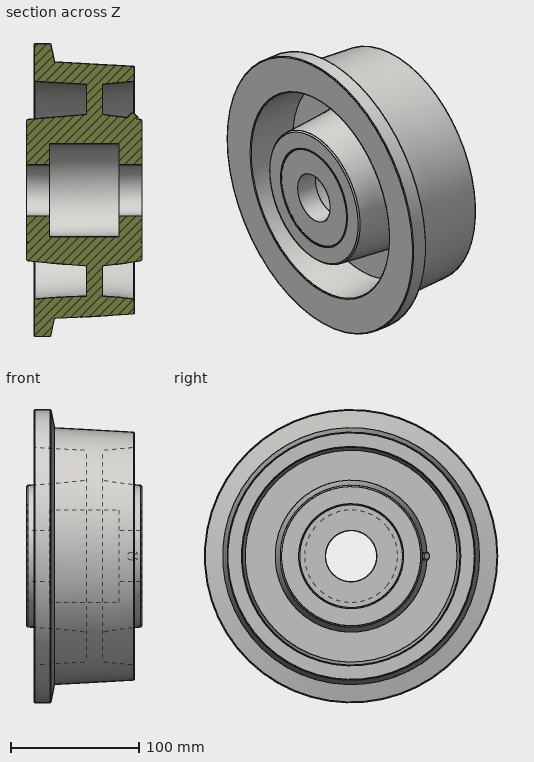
import cadquery as cq
import math

hub_length = 90.0
hub_end = hub_length / 2
hub_overhang = 6.0
rim_end = hub_end - hub_overhang
flange_width = 13.3
flange_back = -rim_end + flange_width
tread_start = flange_back + 2.7
web_start = 1.5
web_thickness = 12.8
web_end = web_start + web_thickness

flange_radius = 114.2
tread_start_radius = 100.0
tread_end_radius = 96.7
rim_mouth_radius = 85.5
rim_root_radius = 82.5
hub_root_radius = 59.2
hub_end_radius = 55.3
bore_radius = 19.9
groove_radius = 41.0
groove_size = 1.0

bearing_width = 18.0
cavity_radius = 36.0

edge_chamfer = 0.7
hub_chamfer = 1.1

fitting_radius = 3.0
fitting_length = 11.5
fitting_tip_x = 39.8
fitting_tip_y = 59.0
fitting_angle = math.radians(45)


def revolve_about_x(points):
    profile = cq.Workplane("XY").polyline(points).close()
    return profile.revolve(360, (0, 0, 0), (1, 0, 0))


def make_wheel():
    """Flanged wheel with a tapered tread, a web and a drafted hub."""
    return revolve_about_x([
        (-hub_end, bore_radius),
        (-hub_end, hub_end_radius - hub_chamfer),
        (-hub_end + hub_chamfer, hub_end_radius),
        (web_start, hub_root_radius),
        (web_start, rim_root_radius),
        (-rim_end + edge_chamfer, rim_mouth_radius - edge_chamfer),
        (-rim_end, rim_mouth_radius),
        (-rim_end, flange_radius - edge_chamfer),
        (-rim_end + edge_chamfer, flange_radius),
        (flange_back - edge_chamfer, flange_radius),
        (flange_back, flange_radius - edge_chamfer),
        (tread_start, tread_start_radius),
        (rim_end - edge_chamfer, tread_end_radius),
        (rim_end, tread_end_radius - edge_chamfer),
        (rim_end, rim_mouth_radius),
        (rim_end - edge_chamfer, rim_mouth_radius - edge_chamfer),
        (web_end, rim_root_radius),
        (web_end, hub_root_radius),
        (hub_end - hub_chamfer, hub_end_radius),
        (hub_end, hub_end_radius - hub_chamfer),
        (hub_end, bore_radius),
    ])


def make_ring_groove(side):
    """Triangular groove around the bore on the hub face at side * hub_end."""
    face_x = side * hub_end
    return revolve_about_x([
        (face_x, groove_radius),
        (face_x, groove_radius - groove_size),
        (face_x - side * groove_size, groove_radius - groove_size),
    ])


def make_fitting():
    """Round grease fitting leaning outward, with its root inside the hub."""
    tip = cq.Vector(fitting_tip_x, fitting_tip_y, 0)
    outward = cq.Vector(math.cos(fitting_angle), math.sin(fitting_angle), 0)
    root = tip - outward * fitting_length
    return cq.Solid.makeCylinder(fitting_radius, fitting_length, root, outward)


def make_bearing_cavity():
    """Wider stretch of the bore between the two bearings."""
    inner_face = hub_end - bearing_width
    return revolve_about_x([
        (-inner_face, 0),
        (-inner_face, cavity_radius),
        (inner_face, cavity_radius),
        (inner_face, 0),
    ])


result = make_wheel().union(cq.Workplane(make_fitting()))
result = result.cut(make_bearing_cavity())
for hub_side in (-1, 1):
    result = result.cut(make_ring_groove(hub_side))